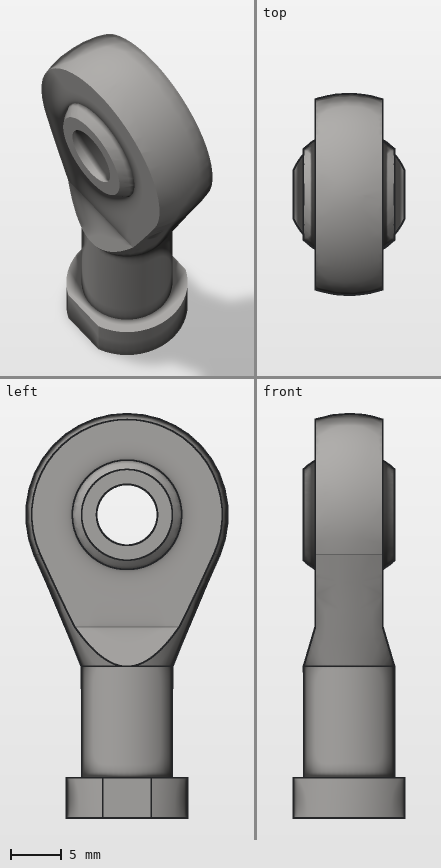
import cadquery as cq
import math

total_height = 40.0
head_radius = 10.0
head_width = 6.7
head_height = total_height - head_radius

shank_radius = 4.5
shank_top = 15.0
flat_taper_top = 18.9

collar_radius = 6.0
collar_height = 4.0
collar_across_flats = 11.0

ball_radius = 6.35
ball_width = 2 * shank_radius
bore_radius = 3.0


def make_sphere():
    """Sphere shared by the ball and its socket, at the head center."""
    return cq.Workplane("XY").sphere(ball_radius).translate((0, 0, head_height))


def make_revolved_blank():
    """Shank, cone and spherical head turned about Z; the cone is tangent to the head."""
    cone_drop = head_height - shank_top
    base_angle = math.atan2(-cone_drop, shank_radius)
    tangent_angle = base_angle + math.acos(head_radius / math.hypot(shank_radius, cone_drop))
    mid_angle = (tangent_angle + math.pi / 2) / 2

    def on_head(angle):
        return (head_radius * math.cos(angle), head_height + head_radius * math.sin(angle))

    return (
        cq.Workplane("XZ")
        .lineTo(shank_radius, 0)
        .lineTo(shank_radius, shank_top)
        .lineTo(*on_head(tangent_angle))
        .threePointArc(on_head(mid_angle), (0, total_height))
        .close()
        .revolve(360, (0, 0, 0), (0, 1, 0))
    )


def make_flat_envelope():
    """Prism along Y whose sides form the head faces and the tapered flats."""
    half_head = head_width / 2
    return (
        cq.Workplane("XZ")
        .polyline([
            (-shank_radius, 0),
            (shank_radius, 0),
            (shank_radius, shank_top),
            (half_head, flat_taper_top),
            (half_head, total_height),
            (-half_head, total_height),
            (-half_head, flat_taper_top),
            (-shank_radius, shank_top),
        ])
        .close()
        .extrude(head_radius, both=True)
    )


def make_collar():
    """Round collar with two wrench flats facing X."""
    flats = cq.Workplane("XY").box(
        collar_across_flats, 2 * collar_radius, collar_height, centered=(True, True, False)
    )
    return cq.Workplane("XY").circle(collar_radius).extrude(collar_height).intersect(flats)


def make_housing():
    blank = make_revolved_blank().intersect(make_flat_envelope())
    return blank.union(make_collar()).cut(make_sphere())


def make_ball():
    """Ball with flat ends and a through bore along X."""
    sleeve = (
        cq.Workplane("YZ", origin=(-ball_width / 2, 0, head_height))
        .circle(ball_radius)
        .circle(bore_radius)
        .extrude(ball_width)
    )
    return make_sphere().intersect(sleeve)


housing = make_housing()
ball = make_ball()

result = cq.Compound.makeCompound([housing.val(), ball.val()])